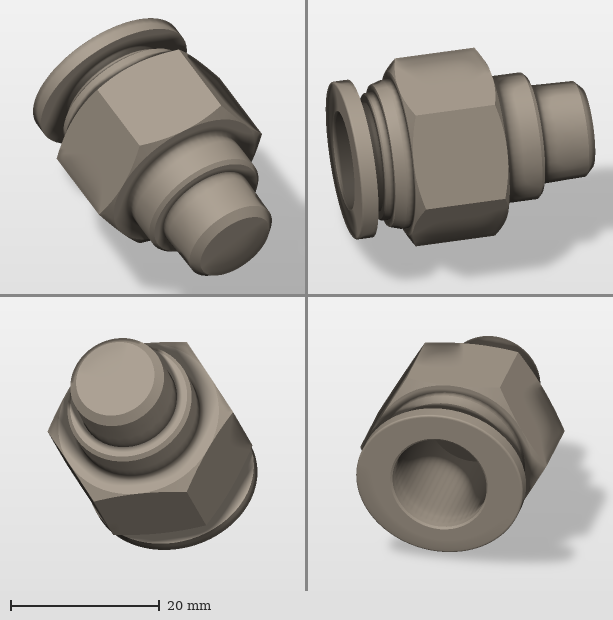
import cadquery as cq
import math

flange_end = 2.25
collar_start = 3.85
sleeve_end = 5.0
shoulder_cone_end = 6.5
hex_start = 7.48
hex_end = 20.37
shank_end = 25.92
spigot_chamfer_start = 32.33
total_length = 33.4

flange_width_y = 22.98
flange_width_z = 20.45
flange_round = 0.27
neck_diameter = 14.8
neck_fillet = 0.17
seam_tolerance = 0.05
collar_diameter = 17.3
collar_chamfer = 0.2

shoulder_diameter = 20.2
shoulder_small_diameter = 19.3
across_flats = 22.25
across_corners = across_flats / math.cos(math.pi / 6)
hex_chamfer_angle = 30
shank_diameter = 17.2
shank_fillet = 0.5
shank_chamfer = 0.5
spigot_taper = 1 / 16
spigot_small_diameter = 13.0
spigot_large_diameter = (
    spigot_small_diameter + spigot_taper * (spigot_chamfer_start - shank_end)
)
spigot_chamfer = total_length - spigot_chamfer_start

bore_diameter = 13.0
bore_mouth_chamfer = 0.27
bore_end = hex_end


def cylinder(diameter, start, end):
    """Cylinder on the X axis between two stations."""
    return cq.Workplane("YZ", origin=(start, 0, 0)).circle(diameter / 2).extrude(end - start)


def cone(start_diameter, end_diameter, start, end):
    """Truncated cone on the X axis between two stations."""
    outline = [
        (start, 0),
        (start, start_diameter / 2),
        (end, end_diameter / 2),
        (end, 0),
    ]
    return cq.Workplane("XY").polyline(outline).close().revolve(360, (0, 0, 0), (1, 0, 0))


def make_sleeve():
    """Release sleeve: oval flange, neck and collar around the tube bore."""
    flange = (
        cq.Workplane("YZ")
        .ellipse(flange_width_y / 2, flange_width_z / 2)
        .extrude(flange_end)
        .faces("<X")
        .edges()
        .fillet(flange_round)
    )
    neck = cylinder(neck_diameter, flange_end, collar_start)
    collar = (
        cylinder(collar_diameter, collar_start, sleeve_end)
        .faces("<X")
        .edges()
        .chamfer(collar_chamfer)
    )
    neck_root = cq.selectors.BoxSelector(
        (flange_end - seam_tolerance, -neck_diameter, -neck_diameter),
        (flange_end + seam_tolerance, neck_diameter, neck_diameter),
    )
    body = flange.union(neck)
    body = body.edges(neck_root).edges("%CIRCLE").fillet(neck_fillet)
    body = body.union(collar).cut(cylinder(bore_diameter, 0, sleeve_end))
    return body.faces("<X").edges("%CIRCLE").chamfer(bore_mouth_chamfer)


def make_hex():
    """Hexagon with corners on the Y axis and both ends chamfered on a cone."""
    prism = (
        cq.Workplane("YZ", origin=(hex_start, 0, 0))
        .polygon(6, across_corners)
        .extrude(hex_end - hex_start)
    )
    corner_depth = (across_corners - across_flats) / 2 * math.tan(math.radians(hex_chamfer_angle))
    envelope = (
        cylinder(across_corners, hex_start + corner_depth, hex_end - corner_depth)
        .union(cone(across_flats, across_corners, hex_start, hex_start + corner_depth))
        .union(cone(across_corners, across_flats, hex_end - corner_depth, hex_end))
    )
    return prism.intersect(envelope)


def make_shank():
    """Round shank with a concave root at the hexagon and a chamfered end."""
    radius = shank_diameter / 2
    root_end = hex_end + shank_fillet
    arc_offset = shank_fillet * (1 - math.sqrt(0.5))
    return (
        cq.Workplane("XY")
        .moveTo(hex_end, 0)
        .lineTo(hex_end, radius + shank_fillet)
        .threePointArc((hex_end + arc_offset, radius + arc_offset), (root_end, radius))
        .lineTo(shank_end - shank_chamfer, radius)
        .lineTo(shank_end, radius - shank_chamfer)
        .lineTo(shank_end, 0)
        .close()
        .revolve(360, (0, 0, 0), (1, 0, 0))
    )


def make_spigot():
    """Tapered spigot with a 45 degree chamfer at its tip."""
    tip_diameter = spigot_small_diameter - 2 * spigot_chamfer
    taper = cone(spigot_large_diameter, spigot_small_diameter, shank_end, spigot_chamfer_start)
    tip = cone(spigot_small_diameter, tip_diameter, spigot_chamfer_start, total_length)
    return taper.union(tip)


def make_housing():
    """Housing: stepped shoulder, hexagon, shank and spigot with a blind bore."""
    shoulder_cone = cone(
        shoulder_small_diameter, shoulder_diameter, sleeve_end, shoulder_cone_end
    )
    shoulder = cylinder(shoulder_diameter, shoulder_cone_end, hex_start)
    return (
        shoulder_cone.union(shoulder)
        .union(make_hex())
        .union(make_shank())
        .union(make_spigot())
        .cut(cylinder(bore_diameter, sleeve_end, bore_end))
    )


sleeve = make_sleeve()
housing = make_housing()
result = cq.Compound.makeCompound([sleeve.solids().val(), housing.solids().val()])